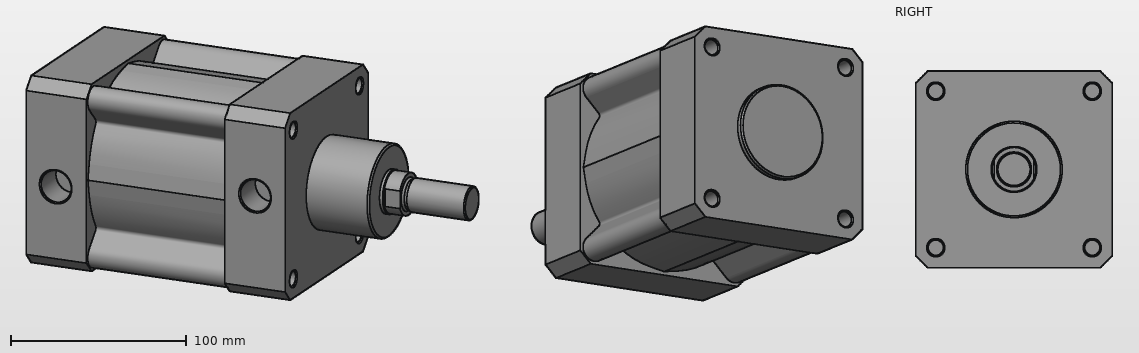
import cadquery as cq
import math


overall_length = 258.0
rear_boss_length = 4.0
cap_length = 38.0
barrel_length = 86.7
front_boss_length = 39.2
wiper_lip_length = 2.3
thread_length = 40.0

rear_cap_start = rear_boss_length
barrel_start = rear_cap_start + cap_length
front_cap_start = barrel_start + barrel_length
front_boss_start = front_cap_start + cap_length
front_boss_end = front_boss_start + front_boss_length
lip_end = front_boss_end + wiper_lip_length
shoulder = overall_length - thread_length

cap_side = 112.0
cap_corner_chamfer = 7.0
boss_diameter = 55.0
boss_chamfer = 1.0
wiper_lip_diameter = 26.0
wiper_lip_chamfer = 0.39

mount_hole_spacing = 89.0
mount_hole_diameter = 8.8
mount_hole_depth = 20.6
mount_hole_chamfer = 0.8

port_diameter = 18.8
port_chamfer = 0.8
port_depth = 20.6
rear_port_x = 22.7
front_port_x = 147.8
port_offset = 6.0

barrel_radius = 53.1
ridge_half_angle = 10.0
lobe_centre = 46.7
lobe_radius = 7.5
lobe_root_fillet = 2.0

rod_diameter = 25.0
flats_width = 22.7
flats_start = 208.7
thread_diameter = 19.9
thread_end_chamfer = 0.8
relief_depth = 1.0
relief_bottom_offset = 1.5
relief_length = 3.5
relief_bottom = shoulder + relief_bottom_offset
relief_end = shoulder + relief_length


def x_cylinder(diameter, start, end):
    return cq.Workplane("YZ", origin=(start, 0, 0)).circle(diameter / 2).extrude(end - start)


def chamfered_hole(face_plane, diameter, depth, chamfer):
    """Cutter for a blind hole with a chamfered mouth; the plane normal points into the material."""
    radius = diameter / 2
    bore = cq.Workplane(face_plane).circle(radius).extrude(depth)
    mouth = cq.Solid.makeCone(radius + chamfer, radius, chamfer, face_plane.origin, face_plane.zDir)
    return bore.union(cq.Workplane(mouth))


def cap_block(start, outer_face_x, inward, port_x, port_z):
    """Square cap with corner chamfers, four mounting holes in its outer face and one air port."""
    block = (
        cq.Workplane("YZ", origin=(start, 0, 0))
        .rect(cap_side, cap_side)
        .extrude(cap_length)
        .edges("|X")
        .chamfer(cap_corner_chamfer)
    )
    for side_y in (-1, 1):
        for side_z in (-1, 1):
            hole_centre = (outer_face_x, side_y * mount_hole_spacing / 2, side_z * mount_hole_spacing / 2)
            hole_plane = cq.Plane(origin=hole_centre, xDir=(0, 1, 0), normal=(inward, 0, 0))
            block = block.cut(
                chamfered_hole(hole_plane, mount_hole_diameter, mount_hole_depth, mount_hole_chamfer)
            )
    port_plane = cq.Plane(origin=(port_x, -cap_side / 2, port_z), xDir=(1, 0, 0), normal=(0, 1, 0))
    return block.cut(chamfered_hole(port_plane, port_diameter, port_depth, port_chamfer))


def make_rear_cap():
    block = cap_block(rear_cap_start, rear_cap_start, 1, rear_port_x, -port_offset)
    boss = x_cylinder(boss_diameter, 0, rear_cap_start).faces("<X").chamfer(boss_chamfer)
    return block.union(boss)


def make_front_cap():
    block = cap_block(front_cap_start, front_boss_start, -1, front_port_x, port_offset)
    boss = x_cylinder(boss_diameter, front_boss_start, front_boss_end).faces(">X").chamfer(boss_chamfer)
    lip = x_cylinder(wiper_lip_diameter, front_boss_end, lip_end).faces(">X").chamfer(wiper_lip_chamfer)
    rod_bore = x_cylinder(rod_diameter, front_cap_start, lip_end)
    return block.union(boss).union(lip).cut(rod_bore)


def make_barrel():
    """Round body with a low ridge on each side and a round-tipped lobe towards each corner."""
    barrel = x_cylinder(2 * barrel_radius, barrel_start, front_cap_start)
    section = cq.Workplane("YZ", origin=(barrel_start, 0, 0))

    tangent_y = barrel_radius * math.cos(math.radians(ridge_half_angle))
    tangent_z = barrel_radius * math.sin(math.radians(ridge_half_angle))
    crest_y = barrel_radius / math.cos(math.radians(ridge_half_angle))
    ridge = (
        section.polyline([(0, 0), (tangent_y, -tangent_z), (crest_y, 0), (tangent_y, tangent_z)])
        .close()
        .extrude(barrel_length)
    )
    lobe_reach = lobe_centre * math.sqrt(2)
    lobe = (
        section.moveTo(0, -lobe_radius)
        .lineTo(lobe_reach, -lobe_radius)
        .threePointArc((lobe_reach + lobe_radius, 0), (lobe_reach, lobe_radius))
        .lineTo(0, lobe_radius)
        .close()
        .extrude(barrel_length)
    )
    for quarter in range(4):
        turn = 90 * quarter
        barrel = barrel.union(ridge.rotate((0, 0, 0), (1, 0, 0), turn))
        barrel = barrel.union(lobe.rotate((0, 0, 0), (1, 0, 0), turn + 45))

    root_angle = math.degrees(math.asin(lobe_radius / barrel_radius))
    barrel_middle = barrel_start + barrel_length / 2
    for quarter in range(4):
        for side in (-1, 1):
            direction = math.radians(45 + 90 * quarter + side * root_angle)
            root = (barrel_middle, barrel_radius * math.cos(direction), barrel_radius * math.sin(direction))
            barrel = barrel.edges(cq.selectors.NearestToPointSelector(root)).fillet(lobe_root_fillet)
    return barrel


def make_rod():
    """Turned rod with a V-shaped thread relief at its shoulder and two wrench flats facing -Y and +Y."""
    rod_radius = rod_diameter / 2
    thread_radius = thread_diameter / 2
    rod = (
        cq.Workplane("XY")
        .polyline(
            [
                (front_cap_start, 0),
                (front_cap_start, rod_radius),
                (shoulder, rod_radius),
                (shoulder, thread_radius),
                (relief_bottom, thread_radius - relief_depth),
                (relief_end, thread_radius),
                (overall_length - thread_end_chamfer, thread_radius),
                (overall_length, thread_radius - thread_end_chamfer),
                (overall_length, 0),
            ]
        )
        .close()
        .revolve(360, (0, 0, 0), (1, 0, 0))
    )
    flats_length = shoulder - flats_start
    flat_depth = (rod_diameter - flats_width) / 2
    for side in (-1, 1):
        flat_centre = ((flats_start + shoulder) / 2, side * (flats_width + flat_depth) / 2, 0)
        rod = rod.cut(cq.Workplane("XY").box(flats_length, flat_depth, rod_diameter).translate(flat_centre))
    return rod


rear_cap = make_rear_cap()
barrel = make_barrel()
front_cap = make_front_cap()
rod = make_rod()

result = cq.Compound.makeCompound([rear_cap.val(), barrel.val(), front_cap.val(), rod.val()])